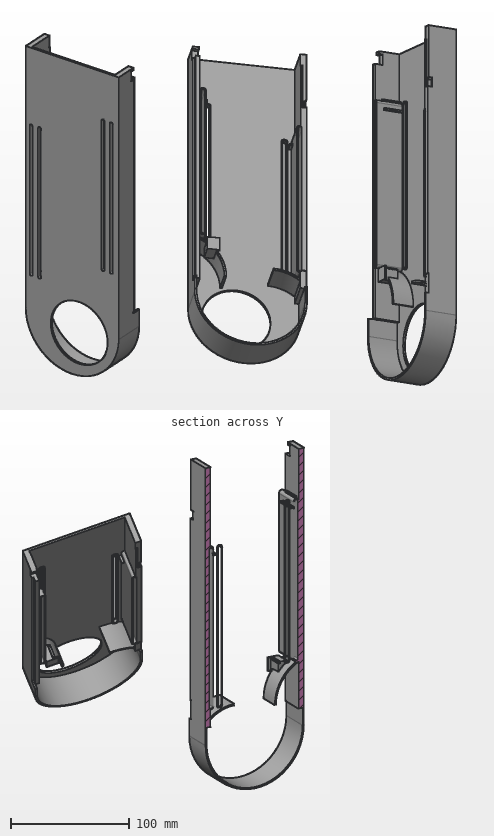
import cadquery as cq

LENGTH = 299.0
WIDTH = 97.0
DEPTH = 30.0
END_RADIUS = WIDTH / 2

FLOOR = 2.0
SIDE_WALL = 5.5
END_WALL = 1.8
LIP = 1.8

END_TOP = 64.0
LOW_BAND_TOP = 81.3
LOW_EDGE = 27.2
HIGH_EDGE = 28.0
RIGHT_EDGE = 25.7

NOTCH_BOTTOM = 245.5
NOTCH_TOP = 253.5
NOTCH_FLOOR = 23.5
RIDGE_START = 3.5

REBATE_FLOOR = 21.5
LATCH_BOTTOM = 287.3
LATCH_TOP = 296.5
LATCH_FLOOR = 18.2

HOLE_RADIUS = 29.5
HOLE_X = 7.2
HOLE_Z = 41.5

SLOT_WIDTH = 3.0
SLOT_LENGTH = 145.0
SLOT_PITCH = 8.7
LEFT_SLOT_X = -42.7
RIGHT_SLOT_X = 40.7
LEFT_SLOT_BOTTOM = 80.7
RIGHT_SLOT_BOTTOM = 108.5
RIM_WALL = 1.2
TALL_RIM_TOP = 27.2
SHORT_RIM_TOP = 3.5

FIN_THICKNESS = 1.5
FIN_REACH = 5.0
FIN_DROP = 6.0
LEFT_FIN_EDGE = 9.0
RIGHT_FIN_EDGE = 20.3

GUIDE_WALL = 1.8
LEFT_GUIDE_RADIUS = 39.0
LEFT_GUIDE_X = -20.0
LEFT_GUIDE_TOP = 80.7
LEFT_GUIDE_EDGE = 27.2
RIGHT_GUIDE_RADIUS = 40.5
RIGHT_GUIDE_X = 19.5
RIGHT_GUIDE_BOTTOM = 71.7
RIGHT_GUIDE_EDGE = 21.5

TAB_LEFT = 28.5
TAB_RIGHT = 36.8
TAB_FRONT = 12.0
TAB_BACK = 26.3
TAB_BOTTOM = 94.2
TAB_TOP = 106.0
TAB_SIDE_WIDTH = 2.0
TAB_SIDE_STEP = 1.5
TAB_CAP_OVERHANG = 2.5
TAB_CAP_DEPTH = 1.5


def box(x0, x1, y0, y1, z0, z1):
    return cq.Workplane("XY").box(x1 - x0, y1 - y0, z1 - z0, centered=False).translate((x0, y0, z0))


def extrude_back(sketch, y0, y1):
    """Extrude a closed XZ outline from depth y0 to depth y1."""
    return sketch.extrude(-(y1 - y0)).translate((0, y0, 0))


def rounded_plate(radius, top, y0, y1):
    """Plate with a half-round bottom end about the end centre."""
    outline = (
        cq.Workplane("XZ")
        .moveTo(-radius, top)
        .lineTo(-radius, END_RADIUS)
        .threePointArc((0, END_RADIUS - radius), (radius, END_RADIUS))
        .lineTo(radius, top)
        .close()
    )
    return extrude_back(outline, y0, y1)


def slot_prism(x, bottom, margin, y0, y1):
    """Upright slot shape, widened all round by margin."""
    outline = (
        cq.Workplane("XZ")
        .center(x, bottom + SLOT_LENGTH / 2)
        .slot2D(SLOT_LENGTH + 2 * margin, SLOT_WIDTH + 2 * margin, 90)
    )
    return extrude_back(outline, y0, y1)


def make_shell():
    body = rounded_plate(END_RADIUS, LENGTH, 0, DEPTH)
    inner_half = END_RADIUS - SIDE_WALL
    cavity = rounded_plate(END_RADIUS - END_WALL, END_TOP, FLOOR, DEPTH)
    channel = box(-inner_half, inner_half, FLOOR, DEPTH, END_TOP, LENGTH)
    return body.cut(cavity).cut(channel)


def notch_cut():
    """Notch through the outer layer of the left wall, with a sloping upper end."""
    left = -END_RADIUS
    outline = (
        cq.Workplane("XZ")
        .moveTo(left, NOTCH_BOTTOM)
        .lineTo(left + LIP, NOTCH_BOTTOM)
        .lineTo(left + LIP, NOTCH_TOP - LIP)
        .lineTo(left, NOTCH_TOP)
        .close()
    )
    return extrude_back(outline, NOTCH_FLOOR, DEPTH)


def trim_edges(body):
    """Lower the back edges of the side walls and cut their notches."""
    half = END_RADIUS
    trims = [
        box(-half, half, LOW_EDGE, DEPTH, END_TOP, LOW_BAND_TOP),
        box(-half, half, HIGH_EDGE, DEPTH, LOW_BAND_TOP, LENGTH),
        box(-half, RIDGE_START - half, LOW_EDGE, DEPTH, NOTCH_BOTTOM, LENGTH),
        box(-half, 0, LOW_EDGE, DEPTH, LATCH_BOTTOM, LENGTH),
        notch_cut(),
        box(half - LIP, half, REBATE_FLOOR, DEPTH, END_TOP, LENGTH),
        box(0, half, RIGHT_EDGE, DEPTH, END_TOP, LENGTH),
        box(0, half, REBATE_FLOOR, DEPTH, LATCH_BOTTOM, LENGTH),
        box(0, half, LATCH_FLOOR, DEPTH, LATCH_BOTTOM, LATCH_TOP),
    ]
    for trim in trims:
        body = body.cut(trim)
    return body


def left_guide():
    """Wall that rises from the left side wall and levels out at its right end."""
    centre_z = LEFT_GUIDE_TOP - LEFT_GUIDE_RADIUS
    ring = cq.Workplane("XZ").center(LEFT_GUIDE_X, centre_z)
    ring = ring.circle(LEFT_GUIDE_RADIUS).circle(LEFT_GUIDE_RADIUS - GUIDE_WALL)
    wall = extrude_back(ring, 0, LEFT_GUIDE_EDGE)
    return wall.intersect(box(-END_RADIUS + LIP, LEFT_GUIDE_X, 0, DEPTH, END_TOP, LENGTH))


def right_guide():
    """Wall that starts upright and bends over to the right side wall."""
    centre_x = RIGHT_GUIDE_X + RIGHT_GUIDE_RADIUS
    ring = cq.Workplane("XZ").center(centre_x, RIGHT_GUIDE_BOTTOM)
    ring = ring.circle(RIGHT_GUIDE_RADIUS).circle(RIGHT_GUIDE_RADIUS - GUIDE_WALL)
    wall = extrude_back(ring, 0, RIGHT_GUIDE_EDGE)
    return wall.intersect(box(RIGHT_GUIDE_X, END_RADIUS - LIP, 0, DEPTH, RIGHT_GUIDE_BOTTOM, LENGTH))


def hooked_tab():
    """Tab on the right guide, with a cap that overhangs to the left."""
    post = box(TAB_LEFT + TAB_SIDE_WIDTH, TAB_RIGHT, TAB_FRONT, TAB_BACK, TAB_BOTTOM, TAB_TOP)
    side = box(TAB_LEFT, TAB_RIGHT, TAB_FRONT, TAB_BACK, TAB_BOTTOM, TAB_TOP - TAB_SIDE_STEP)
    cap_left = TAB_LEFT - TAB_CAP_OVERHANG
    cap = box(cap_left, TAB_RIGHT, TAB_BACK - TAB_CAP_DEPTH, TAB_BACK, TAB_BOTTOM, TAB_TOP)
    return post.union(side).union(cap)


def side_fin(slot_x, slot_bottom, direction, edge):
    """Fin that points inward from the rim of an outer slot; direction is +1 for +X, -1 for -X."""
    top = slot_bottom + SLOT_LENGTH - FIN_DROP
    root_x = slot_x + direction * SLOT_WIDTH / 2
    tip_x = slot_x + direction * FIN_REACH
    return box(min(root_x, tip_x), max(root_x, tip_x), 0, edge, top - FIN_THICKNESS, top)


def end_fin():
    """Fin on the upper end of the outer right slot's rim."""
    slot_top = RIGHT_SLOT_BOTTOM + SLOT_LENGTH
    half = FIN_THICKNESS / 2
    fin_top = slot_top + RIM_WALL + FIN_THICKNESS
    return box(RIGHT_SLOT_X - half, RIGHT_SLOT_X + half, 0, RIGHT_FIN_EDGE, slot_top, fin_top)


SLOTS = [
    (LEFT_SLOT_X, LEFT_SLOT_BOTTOM, TALL_RIM_TOP),
    (LEFT_SLOT_X + SLOT_PITCH, LEFT_SLOT_BOTTOM, SHORT_RIM_TOP),
    (RIGHT_SLOT_X - SLOT_PITCH, RIGHT_SLOT_BOTTOM, SHORT_RIM_TOP),
    (RIGHT_SLOT_X, RIGHT_SLOT_BOTTOM, TALL_RIM_TOP),
]

result = trim_edges(make_shell())
result = result.union(left_guide()).union(right_guide()).union(hooked_tab()).union(end_fin())
result = result.union(side_fin(LEFT_SLOT_X, LEFT_SLOT_BOTTOM, 1, LEFT_FIN_EDGE))
result = result.union(side_fin(RIGHT_SLOT_X, RIGHT_SLOT_BOTTOM, -1, RIGHT_FIN_EDGE))
for slot_x, slot_bottom, rim_top in SLOTS:
    result = result.union(slot_prism(slot_x, slot_bottom, RIM_WALL, 0, rim_top))
for slot_x, slot_bottom, rim_top in SLOTS:
    result = result.cut(slot_prism(slot_x, slot_bottom, 0, 0, DEPTH))

opening = cq.Workplane("XZ").center(HOLE_X, HOLE_Z).circle(HOLE_RADIUS)
result = result.cut(extrude_back(opening, 0, FLOOR))